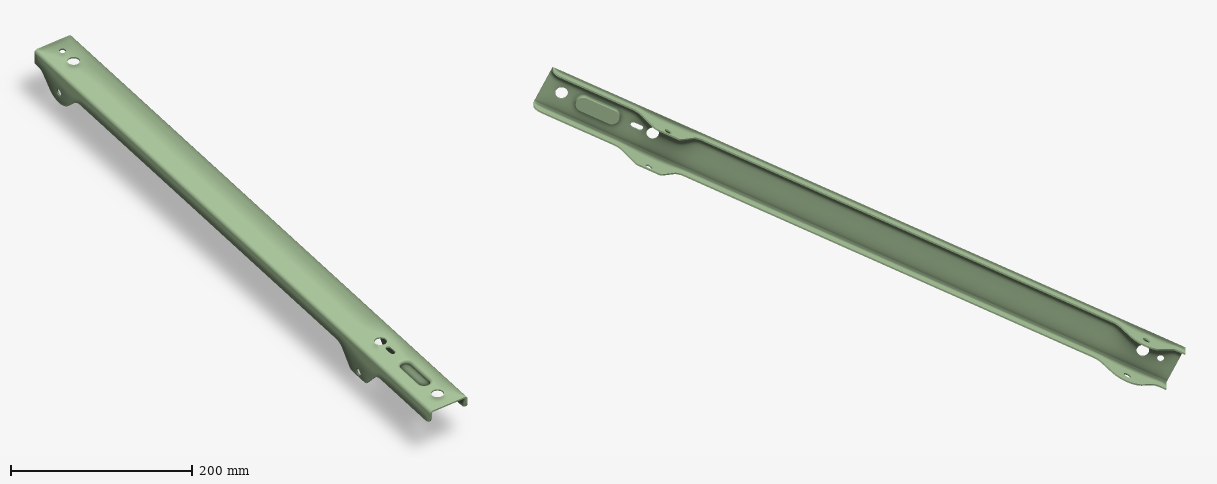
import cadquery as cq
import math

length = 778.0
width = 50.0
height = 43.5
thickness = 1.95
bend_radius = 4.0
flange_depth = 19.0
end_corner_radius = 9.0

round_lug_x = 48.0
round_lug_depth = 43.0
round_lug_radius = 26.5
round_lug_hole_depth = 29.0

flat_lug_x = 636.5
flat_lug_bottom_width = 30.0
flat_lug_top_width = 72.0
flat_lug_hole_depth = 37.0
flat_lug_corner_radius = 6.0

lug_hole_diameter = 8.5
lug_blend_radius = 15.5

web_holes = [(19.0, 8.0), (40.5, 14.0), (643.5, 14.0), (755.5, 14.0)]
slot_x = 663.0
slot_length = 15.0
slot_width = 6.0

dish_x = 711.0
dish_length = 48.0
dish_width = 13.0
dish_depth = 5.5
dish_rim_radius = 4.0


def channel():
    """U-shaped sheet with rounded bends, as deep as the deepest lug."""
    outer = cq.Workplane("XY").box(length, width, height, centered=(False, True, False))
    outer = outer.translate((0, 0, -height)).edges("|X and >Z").fillet(bend_radius)
    inner = cq.Workplane("XY").box(length, width - 2 * thickness, height, centered=(False, True, False))
    inner = inner.translate((0, 0, -height - thickness)).edges("|X and >Z").fillet(bend_radius - thickness)
    return outer.cut(inner)


def side_plate(outline):
    """Extrude an XZ outline across the full width of the channel."""
    return outline.extrude(width / 2, both=True)


def flange_strip():
    """Full-length band of the flanges, with the lower right corner rounded."""
    strip = side_plate(cq.Workplane("XZ").moveTo(length / 2, -flange_depth / 2).rect(length, flange_depth))
    return strip.edges("|Y and >X and <Z").fillet(end_corner_radius)


def round_lug():
    """Flanks at 45 degrees, tangent to the arc that forms the bottom."""
    arc_z = round_lug_radius - round_lug_depth
    tangent_offset = round_lug_radius * math.sqrt(0.5)
    tangent_z = arc_z - tangent_offset
    root_offset = tangent_offset + (-flange_depth - tangent_z)
    outline = (
        cq.Workplane("XZ")
        .moveTo(round_lug_x - root_offset, -flange_depth)
        .lineTo(round_lug_x - tangent_offset, tangent_z)
        .threePointArc((round_lug_x, -round_lug_depth), (round_lug_x + tangent_offset, tangent_z))
        .lineTo(round_lug_x + root_offset, -flange_depth)
        .close()
    )
    return side_plate(outline)


def flat_lug():
    """Trapezoid with rounded lower corners."""
    outline = (
        cq.Workplane("XZ")
        .moveTo(flat_lug_x - flat_lug_top_width / 2, -flange_depth)
        .lineTo(flat_lug_x - flat_lug_bottom_width / 2, -height)
        .lineTo(flat_lug_x + flat_lug_bottom_width / 2, -height)
        .lineTo(flat_lug_x + flat_lug_top_width / 2, -flange_depth)
        .close()
    )
    return side_plate(outline).edges("|Y and <Z").fillet(flat_lug_corner_radius)


def side_profile():
    """Silhouette of both flanges, with the lug roots blended into the strip."""
    profile = flange_strip().union(round_lug()).union(flat_lug())
    root_zone = cq.selectors.BoxSelector(
        (end_corner_radius, -width, -flange_depth - thickness / 2),
        (length - 2 * end_corner_radius, width, -flange_depth + thickness / 2),
    )
    return profile.edges("|Y").edges(root_zone).fillet(lug_blend_radius)


def lug_hole(x, depth):
    """Cross hole through both flanges."""
    return side_plate(cq.Workplane("XZ").moveTo(x, -depth).circle(lug_hole_diameter / 2))


def dish_block(clearance, floor_z):
    """Stadium-shaped block from floor_z up to the top face, grown all round by clearance."""
    outline = cq.Workplane("XY", origin=(dish_x, 0, floor_z)).slot2D(
        dish_length + 2 * clearance, dish_width + 2 * clearance
    )
    return outline.extrude(-floor_z)


def press_dish(body):
    """Closed recess with a rounded rim, formed from sheet of constant thickness."""
    body = body.union(dish_block(thickness, -dish_depth - thickness))
    body = body.cut(dish_block(0, -dish_depth))

    reach_x = dish_length / 2 + 1.5 * thickness
    reach_y = dish_width / 2 + 1.5 * thickness

    def edges_at(z):
        return cq.selectors.BoxSelector(
            (dish_x - reach_x, -reach_y, z - thickness / 4),
            (dish_x + reach_x, reach_y, z + thickness / 4),
        )

    body = body.edges(edges_at(-thickness)).fillet(dish_rim_radius - thickness)
    return body.edges(edges_at(0)).fillet(dish_rim_radius)


def web_openings():
    """Slot and round holes cut right through the web."""
    slot = cq.Workplane("XY", origin=(slot_x, 0, -thickness)).slot2D(slot_length, slot_width)
    openings = slot.extrude(thickness)
    for x, diameter in web_holes:
        hole = cq.Workplane("XY", origin=(x, 0, -thickness)).circle(diameter / 2).extrude(thickness)
        openings = openings.union(hole)
    return openings


result = channel().intersect(side_profile())
result = result.cut(lug_hole(round_lug_x, round_lug_hole_depth))
result = result.cut(lug_hole(flat_lug_x, flat_lug_hole_depth))
result = result.cut(web_openings())
result = press_dish(result)